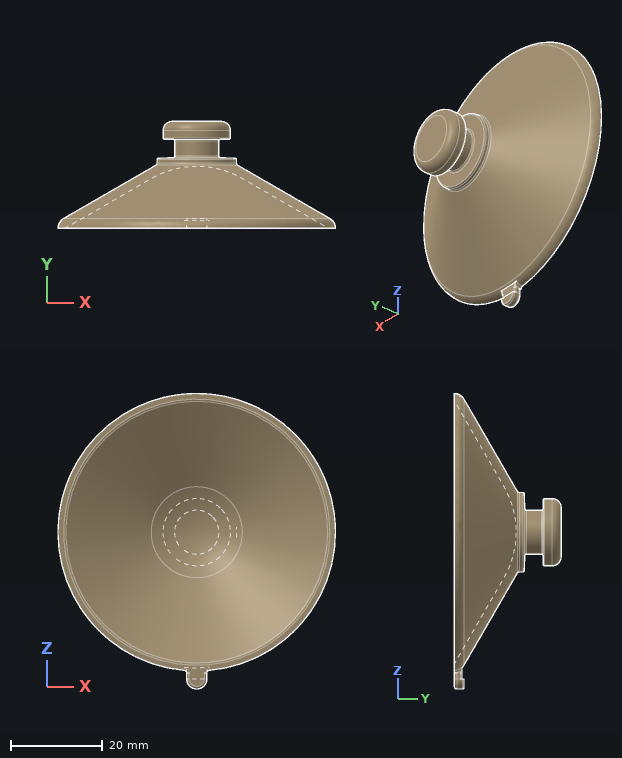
import cadquery as cq
import math


RIM_RADIUS = 30.475
CONE_ANGLE = math.radians(30)
OUTER_CONE_RIM_Y = 1.45
RIM_OUTER_ROUND = 2.4
MOUTH_RADIUS = 28.95
MOUTH_ROUND = 1.0
DOME_EDGE_RADIUS = 10.0

COLLAR_RADIUS = 8.75
COLLAR_EDGE_Y = 15.4
COLLAR_CENTRE_Y = 15.7
COLLAR_EDGE_ROUND = 0.35
COLLAR_BASE_ROUND = 0.5

NECK_RADIUS = 4.85
NECK_ROUND = 0.35
KNOB_RADIUS = 7.4
KNOB_BASE_Y = 19.5
KNOB_TOP_Y = 23.5
KNOB_TOP_ROUND = 2.0
KNOB_BASE_ROUND = 0.35

TAB_TIP_Z = -34.445
TAB_HALF_WIDTH = 2.25
TAB_CENTRE_Z = TAB_TIP_Z + TAB_HALF_WIDTH
TAB_ROOT_Z = -29.6
TAB_STRIP_THICKNESS = 1.75
TAB_TIP_THICKNESS = 2.15
TAB_FRONT_ROUND = 0.6
TAB_BACK_ROUND = 0.35
TAB_ROOT_ROUND = 0.5
TAB_ROUND_START_Z = -30.9

SELECT_MARGIN = 0.05


def outer_cone_y(radius):
    """Height of the outer cone at the given radius."""
    return OUTER_CONE_RIM_Y + (RIM_RADIUS - radius) * math.tan(CONE_ANGLE)


def inner_cone_y(radius):
    """Height of the inner cone at the given radius."""
    return (MOUTH_RADIUS - radius) * math.tan(CONE_ANGLE)


def collar_face_y(radius):
    """Height of the slightly conical collar face at the given radius."""
    return COLLAR_CENTRE_Y + (COLLAR_EDGE_Y - COLLAR_CENTRE_Y) * radius / COLLAR_RADIUS


def round_ring(body, radius, y, size):
    """Round the circular edge of the given radius at height y."""
    corner = (radius + SELECT_MARGIN, y + SELECT_MARGIN, radius + SELECT_MARGIN)
    opposite = (-corner[0], y - SELECT_MARGIN, -corner[2])
    rings = body.edges("%CIRCLE").edges(cq.selectors.BoxSelector(corner, opposite, boundingbox=True))
    ring = rings.filter(lambda edge: abs(edge.radius() - radius) < SELECT_MARGIN)
    return ring.fillet(size)


def make_cup():
    """Turned cup, collar, neck and knob with all their rounds."""
    dome_radius = DOME_EDGE_RADIUS / math.sin(CONE_ANGLE)
    dome_edge_y = inner_cone_y(DOME_EDGE_RADIUS)
    dome_centre_y = dome_edge_y - dome_radius * math.cos(CONE_ANGLE)
    half_angle = CONE_ANGLE / 2
    dome_middle = (dome_radius * math.sin(half_angle), dome_centre_y + dome_radius * math.cos(half_angle))
    collar_base_y = outer_cone_y(COLLAR_RADIUS)
    neck_base_y = collar_face_y(NECK_RADIUS)

    body = (
        cq.Workplane("XY")
        .moveTo(0, dome_centre_y + dome_radius)
        .threePointArc(dome_middle, (DOME_EDGE_RADIUS, dome_edge_y))
        .lineTo(MOUTH_RADIUS, 0)
        .lineTo(RIM_RADIUS, 0)
        .lineTo(RIM_RADIUS, OUTER_CONE_RIM_Y)
        .lineTo(COLLAR_RADIUS, collar_base_y)
        .lineTo(COLLAR_RADIUS, COLLAR_EDGE_Y)
        .lineTo(NECK_RADIUS, neck_base_y)
        .lineTo(NECK_RADIUS, KNOB_BASE_Y)
        .lineTo(KNOB_RADIUS, KNOB_BASE_Y)
        .lineTo(KNOB_RADIUS, KNOB_TOP_Y)
        .lineTo(0, KNOB_TOP_Y)
        .close()
        .revolve(360, (0, 0, 0), (0, 1, 0))
    )
    rounds = [
        (MOUTH_RADIUS, 0, MOUTH_ROUND),
        (RIM_RADIUS, OUTER_CONE_RIM_Y, RIM_OUTER_ROUND),
        (COLLAR_RADIUS, collar_base_y, COLLAR_BASE_ROUND),
        (COLLAR_RADIUS, COLLAR_EDGE_Y, COLLAR_EDGE_ROUND),
        (NECK_RADIUS, neck_base_y, NECK_ROUND),
        (NECK_RADIUS, KNOB_BASE_Y, NECK_ROUND),
        (KNOB_RADIUS, KNOB_BASE_Y, KNOB_BASE_ROUND),
        (KNOB_RADIUS, KNOB_TOP_Y, KNOB_TOP_ROUND),
    ]
    for radius, y, size in rounds:
        body = round_ring(body, radius, y, size)
    return body


def tab_block(start_z, end_z, thickness):
    """Rectangular length of the tab with its front face on the rim plane."""
    return (
        cq.Workplane("XY", origin=(0, thickness / 2, start_z))
        .rect(2 * TAB_HALF_WIDTH, thickness)
        .extrude(end_z - start_z)
    )


def make_tab():
    """Pull tab: plain root, strip with rounded edges and a thicker half-round tip."""
    root = tab_block(TAB_ROOT_Z, TAB_ROUND_START_Z, TAB_STRIP_THICKNESS)
    strip = tab_block(TAB_ROUND_START_Z, TAB_CENTRE_Z, TAB_STRIP_THICKNESS)
    strip = strip.edges("|Z and <Y").fillet(TAB_FRONT_ROUND)
    strip = strip.edges("|Z and >Y").fillet(TAB_BACK_ROUND)
    disc = (
        cq.Workplane("XZ", origin=(0, 0, TAB_CENTRE_Z))
        .circle(TAB_HALF_WIDTH)
        .extrude(-TAB_TIP_THICKNESS)
        .faces("<Y").edges().fillet(TAB_FRONT_ROUND)
        .faces(">Y").edges().fillet(TAB_BACK_ROUND)
    )
    tip = disc.intersect(tab_block(TAB_CENTRE_Z, TAB_TIP_Z, TAB_TIP_THICKNESS))
    return root, strip, tip


def is_side_corner(edge):
    """True for the edges where a tab side meets the outside of the rim."""
    centre = edge.Center()
    return abs(centre.x) > TAB_HALF_WIDTH - SELECT_MARGIN and centre.y > SELECT_MARGIN


def join_tab(cup):
    """Add the tab to the cup and round the two corners where it leaves the rim."""
    root, strip, tip = make_tab()
    body = cup.union(root)
    side_corners = cq.selectors.BoxSelector(
        (-TAB_HALF_WIDTH - SELECT_MARGIN, -SELECT_MARGIN, TAB_ROUND_START_Z + SELECT_MARGIN),
        (TAB_HALF_WIDTH + SELECT_MARGIN, TAB_STRIP_THICKNESS, TAB_ROOT_Z),
    )
    wall_edges = body.edges(side_corners).filter(is_side_corner)
    body = wall_edges.fillet(TAB_ROOT_ROUND)
    return body.union(strip).union(tip)


result = join_tab(make_cup())